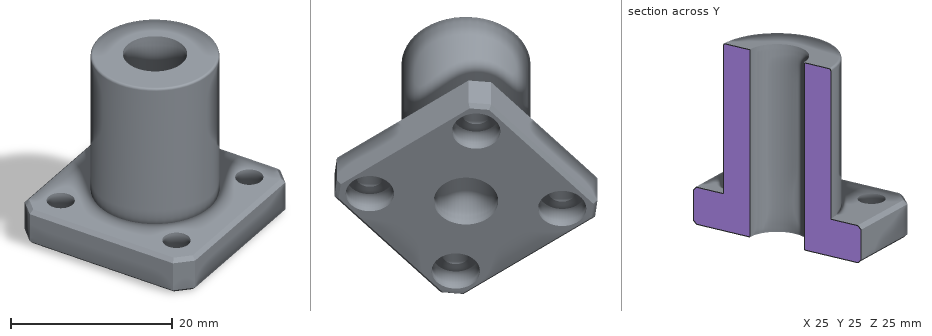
import cadquery as cq
import math

flange_side = 25.0
flange_thickness = 5.0
corner_cut = 2.0
flange_edge_chamfer = 0.5

total_height = 25.0
barrel_diameter = 16.0
barrel_edge_radius = 0.3
bore_diameter = 8.0

bolt_circle_diameter = 24.0
hole_diameter = 3.5
counterbore_diameter = 6.0
counterbore_depth = 3.1
hole_spacing = bolt_circle_diameter / math.sqrt(2)


def make_flange():
    """Square plate with cut corners and chamfered top and bottom rims."""
    plate = cq.Workplane("XY").rect(flange_side, flange_side).extrude(flange_thickness)
    plate = plate.edges("|Z").chamfer(corner_cut)
    return plate.faces("<Z or >Z").chamfer(flange_edge_chamfer)


def make_barrel():
    """Cylinder rising from the flange base, with a rounded top edge."""
    barrel = cq.Workplane("XY").circle(barrel_diameter / 2).extrude(total_height)
    return barrel.faces(">Z").edges().fillet(barrel_edge_radius)


def make_bore():
    """Through bore along the barrel axis."""
    return cq.Workplane("XY").circle(bore_diameter / 2).extrude(total_height)


def make_mounting_holes():
    """Four stepped holes at the flange corners, counterbored from below."""
    centers = cq.Workplane("XY").rect(hole_spacing, hole_spacing, forConstruction=True).vertices()
    shanks = centers.circle(hole_diameter / 2).extrude(flange_thickness)
    counterbores = centers.circle(counterbore_diameter / 2).extrude(counterbore_depth)
    return shanks.union(counterbores)


result = make_flange().union(make_barrel()).cut(make_bore()).cut(make_mounting_holes())